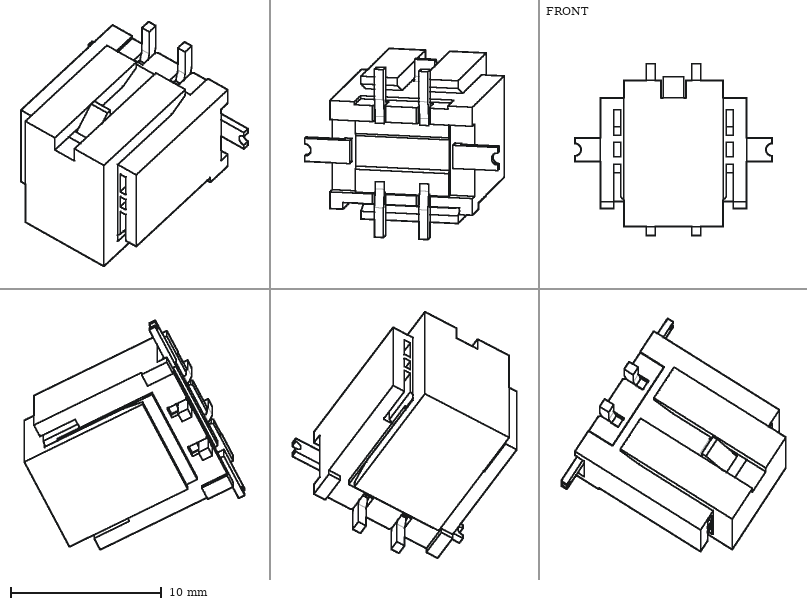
import cadquery as cq


overall_width = 13.09
overall_height = 11.4
overall_depth = 11.4
mid_z = overall_height / 2

housing_width = 9.69
housing_depth = 9.9
housing_top_z = 9.14
housing_bottom_z = 1.79
wing_bottom_z = 2.25
foot_width = 0.89
foot_depth = 1.88
key_front_depth = 8.93

top_recess_width = 6.34
top_recess_drop = 0.21
back_notch_top_z = 7.84
back_notch_bottom_z = 2.93
wing_notch_depth = 0.72
middle_notch_depth = 0.29
groove_depth = 0.47
groove_height = 2.07

slot_width = 0.46
slot_depth = 2.62
slot_inner_x = housing_width / 2 - foot_width - slot_width
slot_rib_offset = 0.95
slot_ramp = 0.56
upper_slot_top_z = 8.34
middle_slot_height = 0.97
slot_mouth_chamfer = 0.31

latch_width = 1.37
latch_top_z = 10.55
latch_front_depth = 9.24
latch_crest_front_depth = 7.66
latch_back_depth = 7.33
latch_root_radius = 0.29

cap_width = 6.6
cap_arm_thickness = 1.17
cap_clearance = 0.03
cap_back_depth = 2.59
cap_tip_height = 0.52
cap_tip_slope_depth = 4.06
cap_notch_width = 1.64

pin_pitch = 3.01
pin_width = 0.62
pin_thickness = 0.72
pin_bend_z = 9.37
pin_front_bend_z = 9.3
pin_jog = middle_notch_depth
pin_jog_height = 1.2
pin_root_top_z = 8.4
pin_root_front_depth = 3.93

channel_width = 0.71
channel_depth = 1.5
channel_chamfer = 0.12

tab_height = 1.57
tab_thickness = 0.46
tab_leg_depth = 2.62
tab_hole_radius = 0.4


def block(x_min, x_max, depth_min, depth_max, z_min, z_max):
    """Box between the given limits; depth is the distance in front of the mounting plane."""
    size = (x_max - x_min, depth_max - depth_min, z_max - z_min)
    return cq.Workplane("XY").box(*size, centered=False).translate((x_min, -depth_max, z_min))


def centred_block(width, depth_min, depth_max, z_min, z_max):
    """Box centred on X = 0."""
    return block(-width / 2, width / 2, depth_min, depth_max, z_min, z_max)


def side_profile(points, width, x_centre=0.0):
    """Prism across X from an outline of (depth, z) points."""
    outline = [(-depth, z) for depth, z in points]
    prism = cq.Workplane("YZ").polyline(outline).close().extrude(width / 2, both=True)
    return prism.translate((x_centre, 0, 0))


def flipped(shape):
    """Upside-down copy about the middle height."""
    return shape.mirror("XY", (0, 0, mid_z))


def make_pin(x_centre):
    """Upper pin: a straight tail, a slanted jog and a root that runs into the housing."""
    root_bottom_z = pin_root_top_z - pin_thickness
    jog_slope = pin_jog / pin_jog_height
    ramp_front_depth = pin_thickness + (pin_front_bend_z - pin_root_top_z) * jog_slope
    points = [
        (0, overall_height),
        (0, pin_bend_z),
        (pin_jog, pin_bend_z - pin_jog_height),
        (pin_jog, root_bottom_z),
        (pin_root_front_depth, root_bottom_z),
        (pin_root_front_depth, pin_root_top_z),
        (ramp_front_depth, pin_root_top_z),
        (pin_thickness, pin_front_bend_z),
        (pin_thickness, overall_height),
    ]
    return side_profile(points, pin_width, x_centre)


def make_pins():
    pins = []
    for x_centre in (-pin_pitch / 2, pin_pitch / 2):
        upper_pin = make_pin(x_centre)
        pins += [upper_pin, flipped(upper_pin)]
    return pins


def make_tab():
    """Left mounting tab: a plate with a half-round end notch and a leg into the housing."""
    bottom_z = mid_z - tab_height / 2
    top_z = mid_z + tab_height / 2
    plate = block(-overall_width / 2, -slot_inner_x, 0, tab_thickness, bottom_z, top_z)
    leg = block(-slot_inner_x - slot_width, -slot_inner_x, 0, tab_leg_depth, bottom_z, top_z)
    end_notch = (
        cq.Workplane("XZ")
        .center(-overall_width / 2, mid_z)
        .circle(tab_hole_radius)
        .extrude(tab_thickness)
    )
    return plate.union(leg).cut(end_notch)


def make_cap():
    """U-shaped cap that grips the housing from the front, with tapered arm tips."""
    top_z = housing_top_z + cap_arm_thickness
    lower_arm_z = housing_bottom_z - cap_clearance
    bottom_z = lower_arm_z - cap_arm_thickness
    points = [
        (overall_depth, top_z),
        (cap_back_depth, top_z),
        (cap_back_depth, top_z - cap_tip_height),
        (cap_tip_slope_depth, housing_top_z),
        (housing_depth, housing_top_z),
        (housing_depth, lower_arm_z),
        (cap_tip_slope_depth, lower_arm_z),
        (cap_back_depth, bottom_z + cap_tip_height),
        (cap_back_depth, bottom_z),
        (overall_depth, bottom_z),
    ]
    latch_notch = centred_block(cap_notch_width, 0, overall_depth, housing_top_z, top_z)
    return side_profile(points, cap_width).cut(latch_notch)


def latch():
    """Wedge on the housing top, sloped at the front and rounded at its back root."""
    return (
        cq.Workplane("YZ")
        .moveTo(-latch_front_depth, housing_top_z)
        .lineTo(-latch_crest_front_depth, latch_top_z)
        .lineTo(-latch_back_depth, latch_top_z)
        .lineTo(-latch_back_depth, housing_top_z + latch_root_radius)
        .radiusArc((-latch_back_depth + latch_root_radius, housing_top_z), -latch_root_radius)
        .close()
        .extrude(latch_width / 2, both=True)
    )


def front_slots():
    """Three slots in the left wing; the upper and lower ones end in a ramp next to the middle one."""
    x_centre = -slot_inner_x - slot_width / 2
    back_depth = housing_depth - slot_depth
    ramp_depth = back_depth + slot_ramp
    upper_floor_z = mid_z + slot_rib_offset
    lower_ceiling_z = mid_z - slot_rib_offset
    upper_slot = side_profile(
        [
            (housing_depth, upper_slot_top_z),
            (back_depth, upper_slot_top_z),
            (back_depth, upper_floor_z + slot_ramp),
            (ramp_depth, upper_floor_z),
            (housing_depth, upper_floor_z),
        ],
        slot_width,
        x_centre,
    )
    middle_slot = block(
        x_centre - slot_width / 2,
        x_centre + slot_width / 2,
        back_depth,
        housing_depth,
        mid_z - middle_slot_height / 2,
        mid_z + middle_slot_height / 2,
    )
    lower_slot = side_profile(
        [
            (housing_depth, lower_ceiling_z),
            (ramp_depth, lower_ceiling_z),
            (back_depth, lower_ceiling_z - slot_ramp),
            (back_depth, wing_bottom_z),
            (housing_depth, wing_bottom_z),
        ],
        slot_width,
        x_centre,
    )
    mouth_chamfer = (
        cq.Workplane("XZ", origin=(0, -back_depth, 0))
        .moveTo(-slot_inner_x, wing_bottom_z)
        .lineTo(-slot_inner_x, wing_bottom_z + slot_mouth_chamfer)
        .lineTo(-slot_inner_x + slot_mouth_chamfer, wing_bottom_z)
        .close()
        .extrude(slot_depth)
    )
    return upper_slot.union(middle_slot).union(lower_slot.union(mouth_chamfer))


def tab_groove():
    """Groove across the middle notch, with 45 degree sides."""
    floor_half = groove_height / 2
    mouth_half = floor_half + groove_depth - middle_notch_depth
    points = [
        (middle_notch_depth, mid_z + mouth_half),
        (groove_depth, mid_z + floor_half),
        (groove_depth, mid_z - floor_half),
        (middle_notch_depth, mid_z - mouth_half),
    ]
    return side_profile(points, top_recess_width)


def pin_channel(x_centre):
    """Clearance around a pin pair: deep above the upper root and below the lower one, shallow between."""
    rear = (
        cq.Workplane("XY")
        .moveTo(x_centre - channel_width / 2 - channel_chamfer, 0)
        .lineTo(x_centre - channel_width / 2, -channel_chamfer)
        .lineTo(x_centre - channel_width / 2, -middle_notch_depth)
        .lineTo(x_centre + channel_width / 2, -middle_notch_depth)
        .lineTo(x_centre + channel_width / 2, -channel_chamfer)
        .lineTo(x_centre + channel_width / 2 + channel_chamfer, 0)
        .close()
        .extrude(overall_height)
    )
    upper = block(
        x_centre - channel_width / 2,
        x_centre + channel_width / 2,
        0,
        channel_depth,
        pin_root_top_z,
        overall_height,
    )
    return rear.union(upper).union(flipped(upper))


def make_housing(pins, tabs):
    body = centred_block(housing_width, 0, housing_depth, wing_bottom_z, housing_top_z)
    key = centred_block(cap_width, foot_depth, key_front_depth, housing_bottom_z, wing_bottom_z)
    body = body.union(key)

    foot_inner_x = housing_width / 2 - foot_width
    foot = block(-housing_width / 2, -foot_inner_x, 0, foot_depth, housing_bottom_z, wing_bottom_z)
    body = body.union(foot).union(foot.mirror("YZ")).union(latch())

    recess_floor_z = housing_top_z - top_recess_drop
    body = body.cut(centred_block(top_recess_width, 0, foot_depth, recess_floor_z, housing_top_z))

    notch_z = (back_notch_bottom_z, back_notch_top_z)
    wing_notch = block(-housing_width / 2, -top_recess_width / 2, 0, wing_notch_depth, *notch_z)
    middle_notch = centred_block(top_recess_width, 0, middle_notch_depth, *notch_z)
    body = body.cut(wing_notch).cut(wing_notch.mirror("YZ")).cut(middle_notch).cut(tab_groove())

    slots = front_slots()
    body = body.cut(slots).cut(slots.mirror("YZ"))

    for x_centre in (-pin_pitch / 2, pin_pitch / 2):
        body = body.cut(pin_channel(x_centre))
    for insert in pins + tabs:
        body = body.cut(insert)
    return body


pins = make_pins()
left_tab = make_tab()
tabs = [left_tab, left_tab.mirror("YZ")]
cap = make_cap()
housing = make_housing(pins, tabs)

result = cq.Compound.makeCompound(
    [housing.val(), cap.val(), *[pin.val() for pin in pins], *[tab.val() for tab in tabs]]
)